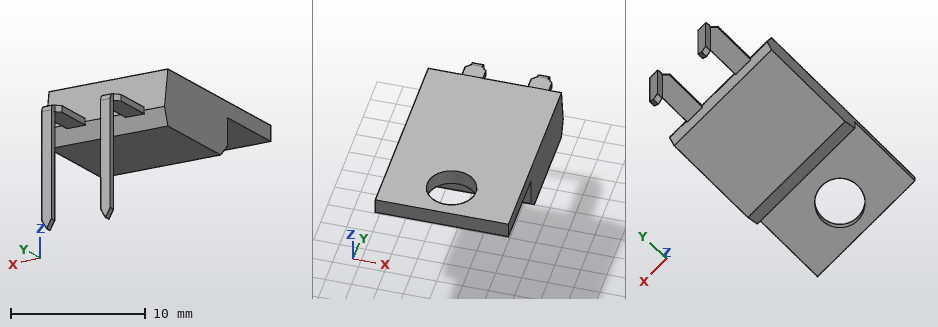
import cadquery as cq


body_width = 10.25
total_length = 19.74
total_height = 12.6
tab_thickness = 1.26
hole_diameter = 3.73
hole_to_front = 2.76
body_height = 4.48
body_front = 6.3
body_back = 15.0
back_taper = 0.5
ridge_depth = 3.08
front_chamfer = 1.0

lead_thickness = 0.51
lead_top = -2.82
lead_pitch = 5.07
shoulder_width = 1.6
leg_width = 0.83
shoulder_chamfer = (shoulder_width - leg_width) / 2
tip_height = 0.71
lead_embed = 0.99


def make_body():
    """Plastic body: a side profile extruded across the full width."""
    profile = [
        (body_front, 0),
        (body_back, 0),
        (body_back + back_taper, -ridge_depth),
        (body_back, -body_height),
        (body_front + front_chamfer, -body_height),
        (body_front, -body_height + front_chamfer),
    ]
    return cq.Workplane("YZ").polyline(profile).close().extrude(body_width / 2, both=True)


def make_tab():
    """Mounting tab with a through hole, flush with the top of the body."""
    tab = (
        cq.Workplane("XY")
        .rect(body_width, body_back)
        .extrude(-tab_thickness)
        .translate((0, body_back / 2, 0))
    )
    hole = cq.Workplane("XY").center(0, hole_to_front).circle(hole_diameter / 2).extrude(-tab_thickness)
    return tab.cut(hole)


def make_lead(x):
    """Flat lead that narrows at the shoulder, bends down and ends in a pointed tip."""
    bend_start = total_length - lead_thickness
    lead_bottom = lead_top - lead_thickness
    shoulder = (
        cq.Workplane("XY", origin=(x, 0, lead_bottom))
        .moveTo(-shoulder_width / 2, body_back - lead_embed)
        .lineTo(shoulder_width / 2, body_back - lead_embed)
        .lineTo(shoulder_width / 2, bend_start - shoulder_chamfer)
        .lineTo(leg_width / 2, bend_start)
        .lineTo(-leg_width / 2, bend_start)
        .lineTo(-shoulder_width / 2, bend_start - shoulder_chamfer)
        .close()
        .extrude(lead_thickness)
    )
    bend = (
        cq.Workplane("YZ", origin=(x, 0, 0))
        .moveTo(bend_start, lead_bottom)
        .lineTo(total_length, lead_bottom)
        .radiusArc((bend_start, lead_top), -lead_thickness)
        .close()
        .extrude(leg_width / 2, both=True)
    )
    leg = (
        cq.Workplane("XZ", origin=(x, total_length, 0))
        .moveTo(-leg_width / 2, lead_bottom)
        .lineTo(leg_width / 2, lead_bottom)
        .lineTo(leg_width / 2, -total_height + tip_height)
        .lineTo(0, -total_height)
        .lineTo(-leg_width / 2, -total_height + tip_height)
        .close()
        .extrude(lead_thickness)
    )
    return shoulder.union(bend).union(leg)


result = make_body().union(make_tab())
for side in (-1, 1):
    result = result.union(make_lead(side * lead_pitch / 2))